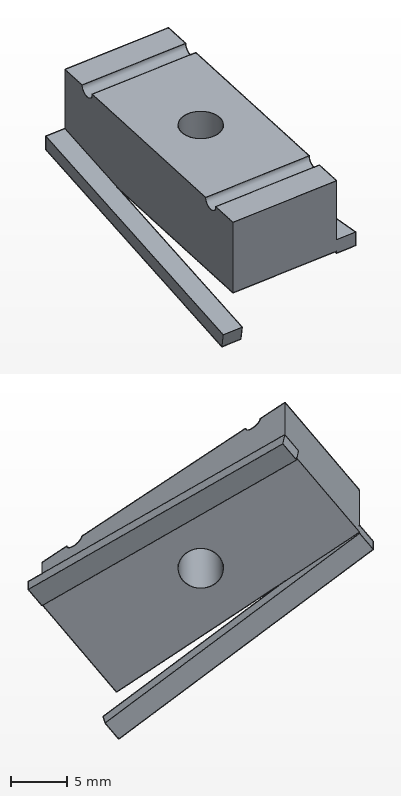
import cadquery as cq
import math

overall_length = 30.05
overall_width = 15.17
overall_height = 12.25

block_length = 27.05
block_height = 7.9
leg_width = 2.05
block_width = overall_width - 2 * leg_width

hole_diameter = 4.03
groove_radius = 0.8
groove_spacing = 19.85

leg_angle = math.radians(8.3)
leg_thickness = 1.5


def make_block():
    """Block with a central through hole and two half-round grooves across its top."""
    block = cq.Workplane("XY").box(block_length, block_width, block_height, centered=(True, True, False))
    block = block.faces(">Z").workplane().hole(hole_diameter)
    grooves = (
        cq.Workplane("XZ", origin=(0, block_width / 2, 0))
        .pushPoints([(-groove_spacing / 2, block_height), (groove_spacing / 2, block_height)])
        .circle(groove_radius)
        .extrude(block_width)
    )
    return block.cut(grooves)


def make_front_leg():
    """Leg on the -Y side: upright cut at its -X root, square cut at its lower +X tip."""
    root_x = -block_length / 2
    tip_top_x = overall_length / 2
    tip_bottom_x = tip_top_x - leg_thickness * math.sin(leg_angle)
    tip_bottom_z = block_height - overall_height
    tip_top_z = tip_bottom_z + leg_thickness * math.cos(leg_angle)
    root_top_z = tip_top_z + (tip_top_x - root_x) * math.tan(leg_angle)
    root_bottom_z = root_top_z - leg_thickness / math.cos(leg_angle)
    return (
        cq.Workplane("XZ", origin=(0, -block_width / 2, 0))
        .moveTo(root_x, root_bottom_z)
        .lineTo(tip_bottom_x, tip_bottom_z)
        .lineTo(tip_top_x, tip_top_z)
        .lineTo(root_x, root_top_z)
        .close()
        .extrude(leg_width)
    )


front_leg = make_front_leg()
rear_leg = front_leg.rotate((0, 0, 0), (0, 0, 1), 180)

result = make_block().union(front_leg).union(rear_leg)